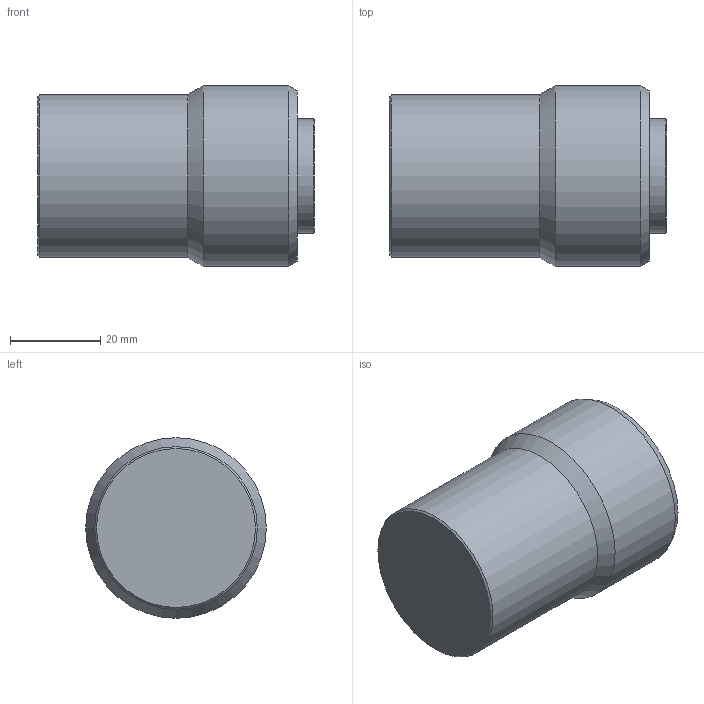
import cadquery as cq
import math

barrel_diameter = 36.0
head_diameter = 40.0
spigot_diameter = 25.4

barrel_length = 33.2
head_end = 57.5
spigot_length = 3.8

cone_slope = math.tan(math.radians(30))

barrel_chamfer = 0.4
head_chamfer_length = 2.0
spigot_chamfer = 0.2

barrel_radius = barrel_diameter / 2
head_radius = head_diameter / 2
spigot_radius = spigot_diameter / 2
head_chamfer_depth = head_chamfer_length * cone_slope

flare_end = barrel_length + (head_radius - barrel_radius) / cone_slope
overall_length = head_end + spigot_length


def revolved_body():
    """Half profile (X along the axis, Z as radius) revolved about the X axis."""
    profile = (
        cq.Workplane("XZ")
        .moveTo(0, 0)
        .lineTo(0, barrel_radius - barrel_chamfer)
        .lineTo(barrel_chamfer, barrel_radius)
        .lineTo(barrel_length, barrel_radius)
        .lineTo(flare_end, head_radius)
        .lineTo(head_end - head_chamfer_length, head_radius)
        .lineTo(head_end, head_radius - head_chamfer_depth)
        .lineTo(head_end, spigot_radius)
        .lineTo(overall_length - spigot_chamfer, spigot_radius)
        .lineTo(overall_length, spigot_radius - spigot_chamfer)
        .lineTo(overall_length, 0)
        .close()
    )
    return profile.revolve(360, (0, 0, 0), (1, 0, 0))


result = revolved_body()